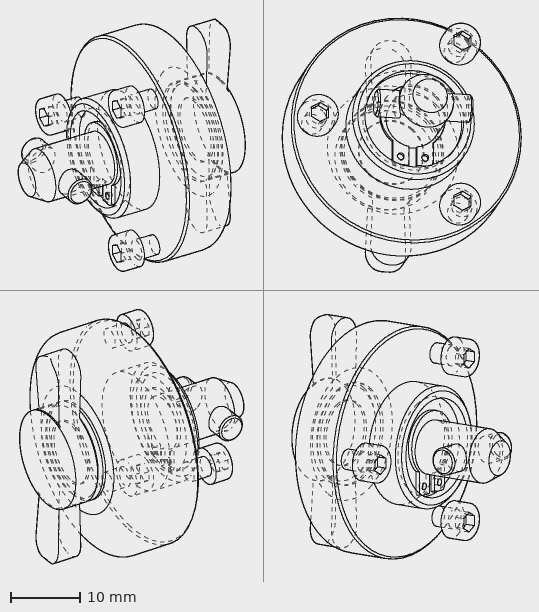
import cadquery as cq
import math


flange_radius = 17.0
flange_shoulder_y = 7.4
flange_back_y = 10.05
flange_back_radius = 9.7
flange_round = 1.0
flange_chamfer = 0.35

collar_radius = 15.0 / 2
collar_back_y = 11.0
collar_chamfer = 0.5
neck_radius = 9.6 / 2

boss_radius = 18.0 / 2
boss_length = 5.5
boss_chamfer = 0.65
recess_radius = 14.6 / 2
recess_depth = 1.5
recess_floor_y = recess_depth - boss_length

shaft_radius = 8.0 / 2
shaft_tip_radius = 2.55
shaft_taper_y = -14.5
shaft_tip_y = -17.0
pin_radius = 4.0 / 2
pin_length = 14.0
pin_y = -12.0
pin_chamfer = 0.27

ring_radius = 9.6 / 2
ring_offset = 0.58
ring_thickness = 0.6
lug_inner_x = 0.58
lug_outer_x = 3.0
lug_bottom_z = -6.75
lug_round = 0.68
lug_hole_diameter = 1.0
lug_hole_x = 1.8
lug_hole_z = -5.5

screw_circle_radius = 14.0
screw_angles = (60, 180, 300)
shank_diameter = 3.0
shank_shift_x = {60: 0.0, 180: 0.0, 300: 0.5}
head_radius = 5.5 / 2
head_start = 3.0
head_height = 3.03
head_round = 0.4
socket_across_flats = 2.5
socket_depth = 1.5

handle_front_y = 11.42
handle_back_y = 15.4
hub_rim_y = 15.2
hub_radius = collar_radius
arm_root_y = 14.95
arm_root_half_width = 2.7
arm_tip_half_width = 3.13
arm_tip_round = 2.9
arm_root_round = 0.5
tip_edge_round = 0.55


def cylinder(radius, start_y, end_y, x=0.0, z=0.0):
    """Cylinder along Y between two Y positions."""
    plane = cq.Workplane("XZ", origin=(x, start_y, z))
    return plane.circle(radius).extrude(start_y - end_y)


def revolve_about_y(profile):
    """Turn an XY profile a full revolution about the Y axis."""
    return profile.close().revolve(360, (0, 0, 0), (0, 1, 0))


def make_flange():
    profile = (
        cq.Workplane("XY")
        .moveTo(0, 0)
        .lineTo(flange_radius, 0)
        .lineTo(flange_radius, flange_shoulder_y)
        .lineTo(flange_back_radius, flange_back_y)
        .lineTo(0, flange_back_y)
    )
    flange = revolve_about_y(profile)
    flange = flange.edges("%CIRCLE exc (<Y or >Y)").fillet(flange_round)
    return flange.faces("<Y").edges().chamfer(flange_chamfer)


def make_collar():
    collar = cylinder(collar_radius, flange_back_y, collar_back_y)
    collar = collar.faces(">Y").edges().chamfer(collar_chamfer)
    return collar.union(cylinder(neck_radius, flange_back_y, handle_front_y))


def make_boss():
    boss = cylinder(boss_radius, 0, -boss_length)
    boss = boss.faces("<Y").edges().chamfer(boss_chamfer)
    return boss.cut(cylinder(recess_radius, recess_floor_y, -boss_length))


def make_retaining_ring():
    floor = cq.Workplane("XZ", origin=(0, recess_floor_y, 0))
    ring = cylinder(ring_radius, recess_floor_y, recess_floor_y - ring_thickness, z=ring_offset)
    for side in (-1, 1):
        lug = (
            floor.moveTo(side * lug_inner_x, 0)
            .lineTo(side * lug_inner_x, lug_bottom_z)
            .lineTo(side * (lug_outer_x - lug_round), lug_bottom_z)
            .radiusArc((side * lug_outer_x, lug_bottom_z + lug_round), -side * lug_round)
            .lineTo(side * lug_outer_x, 0)
            .close()
            .extrude(ring_thickness)
        )
        ring = ring.union(lug)
    holes = (
        floor.pushPoints([(-lug_hole_x, lug_hole_z), (lug_hole_x, lug_hole_z)])
        .circle(lug_hole_diameter / 2)
        .extrude(ring_thickness)
    )
    gap = (
        floor.center(0, lug_bottom_z / 2)
        .rect(2 * lug_inner_x, -lug_bottom_z)
        .extrude(ring_thickness)
    )
    return ring.cut(holes).cut(gap)


def make_shaft():
    profile = (
        cq.Workplane("XY")
        .moveTo(0, 0)
        .lineTo(shaft_radius, 0)
        .lineTo(shaft_radius, shaft_taper_y)
        .lineTo(shaft_tip_radius, shaft_tip_y)
        .lineTo(0, shaft_tip_y)
    )
    return revolve_about_y(profile)


def make_pin():
    plane = cq.Workplane("YZ", origin=(0, pin_y, 0))
    return plane.circle(pin_radius).extrude(pin_length / 2, both=True).edges().chamfer(pin_chamfer)


def make_screw(angle):
    x = screw_circle_radius * math.cos(math.radians(angle))
    z = screw_circle_radius * math.sin(math.radians(angle))
    head_end_y = -head_start - head_height
    head = cylinder(head_radius, -head_start, head_end_y, x, z)
    head = head.faces("<Y").edges().fillet(head_round)
    socket_across_corners = socket_across_flats / math.cos(math.radians(30))
    socket = (
        cq.Workplane("XZ", origin=(x, head_end_y, z))
        .transformed(rotate=(0, 0, 30))
        .polygon(6, socket_across_corners)
        .extrude(-socket_depth)
    )
    shank = cylinder(shank_diameter / 2, 0, -head_start, x + shank_shift_x[angle], z)
    return head.cut(socket).union(shank)


def make_handle():
    length = handle_back_y - handle_front_y
    plane = cq.Workplane("XZ", origin=(0, handle_back_y, 0))
    arm_outline = [
        (-arm_root_half_width, hub_radius),
        (-arm_tip_half_width, flange_radius),
        (arm_tip_half_width, flange_radius),
        (arm_root_half_width, hub_radius),
        (arm_root_half_width, -hub_radius),
        (arm_tip_half_width, -flange_radius),
        (-arm_tip_half_width, -flange_radius),
        (-arm_root_half_width, -hub_radius),
    ]
    arms = plane.polyline(arm_outline).close().extrude(length)
    arms = arms.edges("|Y and (>Z or <Z)").fillet(arm_tip_round)
    planform = arms.union(plane.circle(hub_radius).extrude(length))
    root_region = cq.selectors.BoxSelector(
        (-arm_tip_half_width, 0, -hub_radius), (arm_tip_half_width, flange_radius, hub_radius)
    )
    root_corners = cq.selectors.ParallelDirSelector(cq.Vector(0, 1, 0)) & root_region
    planform = planform.edges(root_corners).fillet(arm_root_round)

    dome_drop = handle_back_y - hub_rim_y
    dome_radius = (hub_radius**2 + dome_drop**2) / (2 * dome_drop)
    back_profile = (
        cq.Workplane("XY")
        .moveTo(0, handle_front_y)
        .lineTo(flange_radius, handle_front_y)
        .lineTo(flange_radius, handle_back_y - tip_edge_round)
        .radiusArc((flange_radius - tip_edge_round, handle_back_y), -tip_edge_round)
        .lineTo(hub_radius, arm_root_y)
        .lineTo(hub_radius, hub_rim_y)
        .radiusArc((0, handle_back_y), -dome_radius)
    )
    return planform.intersect(revolve_about_y(back_profile))


result = make_flange()
for body in (make_collar(), make_boss(), make_retaining_ring(), make_shaft(), make_pin(), make_handle()):
    result = result.union(body)
for screw_angle in screw_angles:
    result = result.union(make_screw(screw_angle))